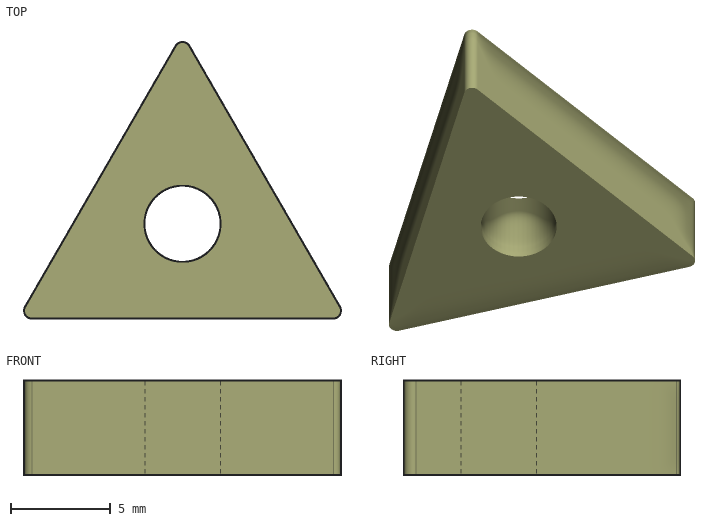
import cadquery as cq
import math

inscribed_diameter = 9.525
thickness = 4.76
hole_diameter = 3.81
corner_radius = 0.4

corner_distance = inscribed_diameter
corner_count = 3
first_corner_angle = 90.0


def corner_point(index):
    """Sharp corner of the triangle; the first one points along +Y."""
    angle = math.radians(first_corner_angle + index * 360.0 / corner_count)
    return (corner_distance * math.cos(angle), corner_distance * math.sin(angle))


def make_body():
    """Triangular plate with rounded vertical edges."""
    corners = [corner_point(index) for index in range(corner_count)]
    plate = cq.Workplane("XY").polyline(corners).close().extrude(thickness)
    return plate.edges("|Z").fillet(corner_radius)


def cut_clamping_hole(body):
    """Plain through hole at the centre of the inscribed circle."""
    return body.faces(">Z").workplane(origin=(0, 0, thickness)).hole(hole_diameter)


result = cut_clamping_hole(make_body())